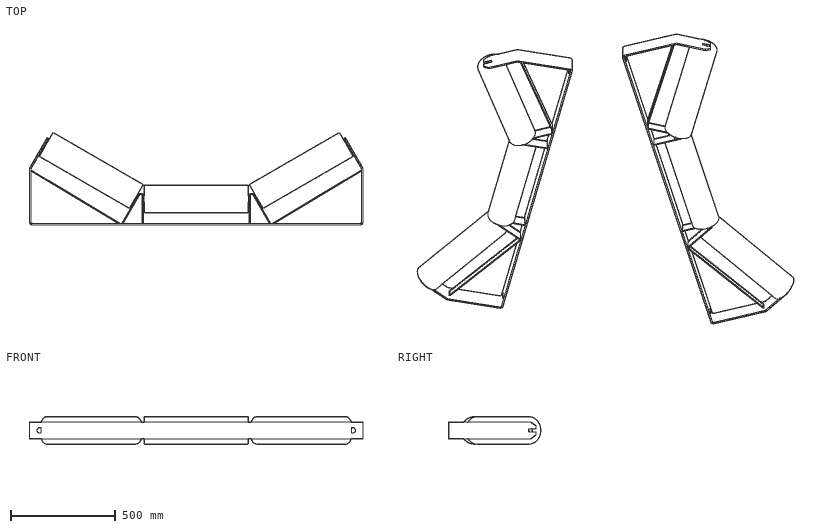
import cadquery as cq
import math

tilt = 30.0

frame_width = 1600.0
strip_height = 80.0
frame_thickness = 8.0
frame_bend_radius = 14.0

roller_diameter = 133.0
roller_length = 500.0
roller_edge_radius = 5.0
roller_gap = 4.0
journal_diameter = 33.0

centre_roller_y = 125.0
side_roller_x = 503.5
side_roller_top = 442.52

tip_length = 30.0
tip_chamfer_length = 26.0
tip_chamfer_height = 17.0
slot_width = 14.0
slot_drop = 3.0

mount_hole_x = 751.5
mount_hole_radius = 12.0
mount_hole_flat = 7.0

bracket_height = 50.0
bracket_thickness = 5.0
bracket_top_y = 151.0
bracket_bend_radius = 8.0

brace_thickness = 5.0
brace_height = 30.0
brace_wall_y = 261.0
brace_base_x = 370.0

cos_tilt = math.cos(math.radians(tilt))
sin_tilt = math.sin(math.radians(tilt))
roller_radius = roller_diameter / 2
half_length = roller_length / 2
half_width = frame_width / 2

side_roller_rise = ((half_length - roller_edge_radius) * sin_tilt
                    + (roller_radius - roller_edge_radius) * cos_tilt + roller_edge_radius)
side_roller_y = side_roller_top - side_roller_rise


def side_point(along, across):
    """XY point given along the left roller axis (inward) and across it (upward)."""
    x = -side_roller_x + along * cos_tilt + across * sin_tilt
    y = side_roller_y - along * sin_tilt + across * cos_tilt
    return (x, y)


def across_at_x(along, x):
    """Across position where the line at a given along position reaches x."""
    return (x + side_roller_x - along * cos_tilt) / sin_tilt


def across_at_y(along, y):
    """Across position where the line at a given along position reaches y."""
    return (y - side_roller_y + along * sin_tilt) / cos_tilt


def prism(points, height):
    """Vertical prism centred on Z = 0."""
    return cq.Workplane("XY").polyline(points).close().extrude(height / 2, both=True)


def mirrored(points):
    """The same points on the +X side, in reverse order."""
    return [(-x, y) for x, y in reversed(points)]


def mirror_x(body):
    return body.mirror("YZ")


def round_corners(body, corners, radius):
    """Fillet the vertical edges standing on the given XY corners."""
    for x, y in corners:
        edge = cq.selectors.NearestToPointSelector((x, y, 0))
        body = body.edges("|Z").edges(edge).fillet(radius)
    return body


def axis_plane(origin, angle):
    """Plane across a roller axis that descends by angle; its x runs upward across the axis."""
    sine = math.sin(math.radians(angle))
    cosine = math.cos(math.radians(angle))
    return cq.Plane(origin=(*origin, 0), xDir=(sine, cosine, 0), normal=(cosine, -sine, 0))


def shaft_slot(plane, top, depth):
    """Slot with a round end below the roller axis, running straight up to its open top."""
    half_slot = slot_width / 2
    return (
        cq.Workplane(plane)
        .moveTo(top, -half_slot)
        .lineTo(-slot_drop, -half_slot)
        .threePointArc((-slot_drop - half_slot, 0), (-slot_drop, half_slot))
        .lineTo(top, half_slot)
        .close()
        .extrude(depth)
    )


frame_outer = -(half_length + roller_gap + frame_thickness)
frame_inner = -(half_length + roller_gap)
inner_wall_x = -half_width + frame_thickness


def make_frame():
    outer = [
        side_point(frame_outer, tip_length),
        side_point(frame_outer, across_at_x(frame_outer, -half_width)),
        (-half_width, 0),
    ]
    inner = [
        side_point(frame_inner, tip_length),
        side_point(frame_inner, across_at_x(frame_inner, inner_wall_x)),
        (inner_wall_x, frame_thickness),
    ]
    outline = outer + mirrored(outer) + inner_outline(inner)
    frame = prism(outline, strip_height)
    outer_bends = outer[1:]
    inner_bends = inner[1:]
    frame = round_corners(frame, outer_bends + mirrored(outer_bends), frame_bend_radius)
    inner_radius = frame_bend_radius - frame_thickness
    frame = round_corners(frame, inner_bends + mirrored(inner_bends), inner_radius)
    cutter = make_tip_cutter()
    frame = frame.cut(cutter).cut(mirror_x(cutter))
    hole = make_mount_hole()
    return frame.cut(hole).cut(mirror_x(hole))


def inner_outline(inner):
    """Inner side of the frame, walked back from the right end to the left end."""
    return [(-x, y) for x, y in inner] + list(reversed(inner))


def make_tip_cutter():
    """Shaft slot and chamfered corners at the left inclined end."""
    plane = axis_plane(side_point(frame_outer, 0), tilt)
    cutter = shaft_slot(plane, tip_length, frame_thickness)
    for side in (-1, 1):
        edge = side * strip_height / 2
        chamfer = (
            cq.Workplane(plane)
            .moveTo(tip_length, edge)
            .lineTo(tip_length - tip_chamfer_length, edge)
            .lineTo(tip_length, edge - side * tip_chamfer_height)
            .close()
            .extrude(frame_thickness)
        )
        cutter = cutter.union(chamfer)
    return cutter


def make_mount_hole():
    """D-shaped hole through the base, round side outward, near the left end."""
    return (
        cq.Workplane("XZ")
        .moveTo(-mount_hole_x + mount_hole_flat, mount_hole_radius)
        .lineTo(-mount_hole_x, mount_hole_radius)
        .threePointArc((-mount_hole_x - mount_hole_radius, 0), (-mount_hole_x, -mount_hole_radius))
        .lineTo(-mount_hole_x + mount_hole_flat, -mount_hole_radius)
        .close()
        .extrude(-frame_thickness)
    )


def make_left_bracket():
    roller_side = half_length + roller_gap
    hollow_side = roller_side + bracket_thickness
    upright_x = -(half_length + roller_gap)
    hollow_x = upright_x - bracket_thickness
    hollow_top = bracket_top_y - bracket_thickness
    outer_top = side_point(roller_side, across_at_y(roller_side, bracket_top_y))
    inner_top = side_point(hollow_side, across_at_y(hollow_side, hollow_top))
    outline = [
        side_point(roller_side, across_at_y(roller_side, frame_thickness)),
        outer_top,
        (upright_x, bracket_top_y),
        (upright_x, frame_thickness),
        (hollow_x, frame_thickness),
        (hollow_x, hollow_top),
        inner_top,
        side_point(hollow_side, across_at_y(hollow_side, frame_thickness)),
    ]
    bracket = prism(outline, bracket_height)
    outer_bends = [outer_top, (upright_x, bracket_top_y)]
    inner_bends = [inner_top, (hollow_x, hollow_top)]
    bracket = round_corners(bracket, outer_bends, bracket_bend_radius)
    bracket = round_corners(bracket, inner_bends, bracket_bend_radius - bracket_thickness)
    slot_top = bracket_top_y - centre_roller_y
    upright_plane = axis_plane((hollow_x, centre_roller_y), 0)
    upright_slot = shaft_slot(upright_plane, slot_top, bracket_thickness)
    leg_plane = axis_plane(side_point(roller_side, 0), tilt)
    leg_top = across_at_y(roller_side, bracket_top_y)
    leg_slot = shaft_slot(leg_plane, leg_top, hollow_side - roller_side)
    return bracket.cut(upright_slot).cut(leg_slot)


def make_left_brace():
    run = -brace_base_x - inner_wall_x
    drop = brace_wall_y - frame_thickness
    slope_length = math.hypot(run, drop)
    half_cut_y = brace_thickness / 2 * slope_length / run
    half_cut_x = brace_thickness / 2 * slope_length / drop
    outline = [
        (inner_wall_x, brace_wall_y + half_cut_y),
        (-brace_base_x + half_cut_x, frame_thickness),
        (-brace_base_x - half_cut_x, frame_thickness),
        (inner_wall_x, brace_wall_y - half_cut_y),
    ]
    return prism(outline, brace_height)


def cylinder_along_x(diameter, length):
    """Cylinder along X, centred on the origin."""
    return cq.Workplane("YZ", origin=(-length / 2, 0, 0)).circle(diameter / 2).extrude(length)


def make_roller():
    shell = cylinder_along_x(roller_diameter, roller_length)
    shell = shell.edges("%CIRCLE").fillet(roller_edge_radius)
    journals = cylinder_along_x(journal_diameter, roller_length + 2 * roller_gap)
    return shell.union(journals)


def placed_roller(x, y, angle):
    roller = make_roller().rotate((0, 0, 0), (0, 0, 1), angle)
    return roller.translate((x, y, 0))


frame = make_frame()
left_bracket = make_left_bracket()
left_brace = make_left_brace()
brackets = [left_bracket, mirror_x(left_bracket)]
braces = [left_brace, mirror_x(left_brace)]
rollers = [
    placed_roller(-side_roller_x, side_roller_y, -tilt),
    placed_roller(0, centre_roller_y, 0),
    placed_roller(side_roller_x, side_roller_y, tilt),
]

bodies = [frame, *brackets, *braces, *rollers]
result = cq.Compound.makeCompound([body.val() for body in bodies])